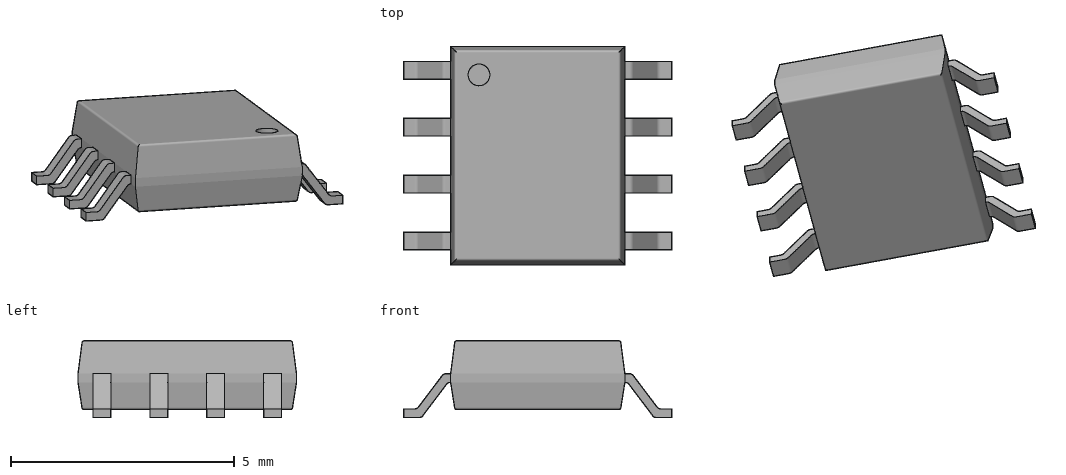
import cadquery as cq
import math

SPAN = 6.0
BODY_LENGTH = 3.9
BODY_WIDTH = 4.89
TOTAL_HEIGHT = 1.72
STANDOFF = 0.18

BELT_TOP = 0.985
RIM_INSET = 0.095
EDGE_RADIUS = 0.055

MARK_DIAMETER = 0.485
MARK_DEPTH = 0.17
MARK_X = -1.315
MARK_Y = 1.805

LEADS_PER_SIDE = 4
LEAD_PITCH = 1.27
LEAD_WIDTH = 0.4
LEAD_THICKNESS = 0.2
FOOT_LENGTH = 0.3
SLOPE_RUN = 0.595
BEND_RADIUS = 0.1
BEND_MARGIN = 0.01

BELT_BOTTOM = BELT_TOP - LEAD_THICKNESS


def make_tapered_half(start_z, end_z, rim_face):
    """Half of the body from the belt edge to its rim, with the rim rounded."""
    height = end_z - start_z
    draft = math.degrees(math.atan(RIM_INSET / abs(height)))
    return (
        cq.Workplane("XY")
        .workplane(offset=start_z)
        .rect(BODY_LENGTH, BODY_WIDTH)
        .extrude(height, taper=draft)
        .faces(rim_face)
        .edges()
        .fillet(EDGE_RADIUS)
    )


def make_body():
    """Moulded body: straight belt, two tapered halves and the pin 1 recess."""
    belt = (
        cq.Workplane("XY")
        .workplane(offset=BELT_BOTTOM)
        .rect(BODY_LENGTH, BODY_WIDTH)
        .extrude(LEAD_THICKNESS)
    )
    upper_half = make_tapered_half(BELT_TOP, TOTAL_HEIGHT, ">Z")
    lower_half = make_tapered_half(BELT_BOTTOM, STANDOFF, "<Z")
    mark = (
        cq.Workplane("XY")
        .workplane(offset=TOTAL_HEIGHT - MARK_DEPTH)
        .center(MARK_X, MARK_Y)
        .circle(MARK_DIAMETER / 2)
        .extrude(MARK_DEPTH)
    )
    return belt.union(upper_half).union(lower_half).cut(mark)


def make_lead():
    """Lead on the -X side, centred on Y = 0 and ending at the body's side face."""
    tip_x = -SPAN / 2
    body_x = -BODY_LENGTH / 2
    lower_bend_x = tip_x + FOOT_LENGTH
    upper_bend_x = lower_bend_x + SLOPE_RUN
    slope_angle = math.atan2(BELT_TOP - LEAD_THICKNESS, SLOPE_RUN)
    bend_shift = LEAD_THICKNESS * math.tan(slope_angle / 2)
    outline = [
        (tip_x, 0),
        (lower_bend_x + bend_shift, 0),
        (upper_bend_x + bend_shift, BELT_BOTTOM),
        (body_x, BELT_BOTTOM),
        (body_x, BELT_TOP),
        (upper_bend_x, BELT_TOP),
        (lower_bend_x, LEAD_THICKNESS),
        (tip_x, LEAD_THICKNESS),
    ]
    strip = cq.Workplane("XZ").polyline(outline).close().extrude(LEAD_WIDTH / 2, both=True)
    bend_zone = cq.selectors.BoxSelector(
        (lower_bend_x - BEND_MARGIN, -LEAD_WIDTH, -LEAD_THICKNESS),
        (upper_bend_x + bend_shift + BEND_MARGIN, LEAD_WIDTH, TOTAL_HEIGHT),
    )
    return strip.edges("|Y").edges(bend_zone).fillet(BEND_RADIUS)


body = make_body()

left_lead = make_lead()
right_lead = left_lead.mirror("YZ")
leads = []
for index in range(LEADS_PER_SIDE):
    lead_y = (index - (LEADS_PER_SIDE - 1) / 2) * LEAD_PITCH
    for lead in (left_lead, right_lead):
        leads.append(lead.translate((0, lead_y, 0)).val())

result = cq.Compound.makeCompound([body.val(), *leads])